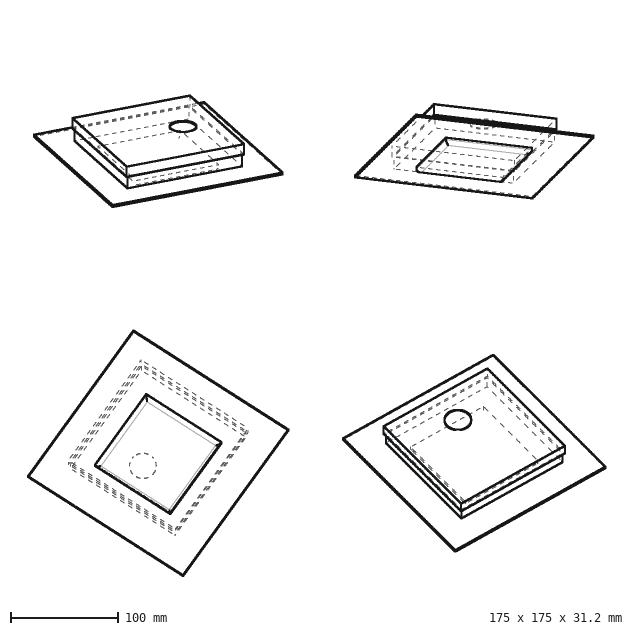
import cadquery as cq

plate_side = 175.0
plate_thickness = 2.0

body_side = 118.0
body_height = 12.5
cover_side = 121.0
cover_height = 10.7

recess_diameter = 25.0
recess_depth = 1.0
recess_offset_y = 25.5

pad_side = 85.0
pad_height = 6.0
pad_edge_radius = 4.0

body_base = plate_thickness
cover_base = body_base + body_height
cover_top = cover_base + cover_height


def square_block(side, height, base):
    """Square block centred on the Z axis, rising from the given height."""
    return cq.Workplane("XY").workplane(offset=base).rect(side, side).extrude(height)


plate = square_block(plate_side, plate_thickness, 0)
body = square_block(body_side, body_height, body_base)
cover = square_block(cover_side, cover_height, cover_base)
pad = square_block(pad_side, pad_height, -pad_height).faces("<Z").edges().fillet(pad_edge_radius)

recess = (
    cq.Workplane("XY")
    .workplane(offset=cover_top - recess_depth)
    .center(0, recess_offset_y)
    .circle(recess_diameter / 2)
    .extrude(recess_depth)
)

result = plate.union(body).union(cover).union(pad).cut(recess)